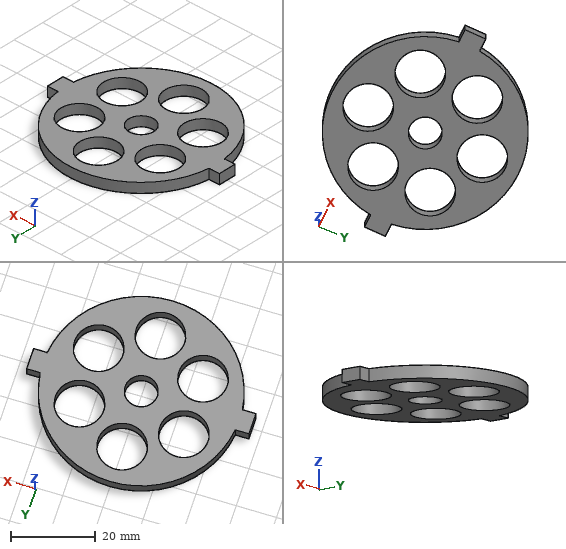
import cadquery as cq

overall_length = 55.3
disc_diameter = 48.85
thickness = 3.2
tab_width = 5.5
center_hole_diameter = 8.0
ring_hole_diameter = 12.0
ring_hole_count = 6
ring_radius = 15.0
first_hole_angle = 90.0

disc = cq.Workplane("XY").circle(disc_diameter / 2).extrude(thickness)

tab_bar = cq.Workplane("XY").rect(overall_length, tab_width).extrude(thickness)

center_hole = cq.Workplane("XY").circle(center_hole_diameter / 2).extrude(thickness)
ring_holes = (
    cq.Workplane("XY")
    .polarArray(ring_radius, first_hole_angle, 360, ring_hole_count)
    .circle(ring_hole_diameter / 2)
    .extrude(thickness)
)

result = disc.union(tab_bar).cut(center_hole).cut(ring_holes)